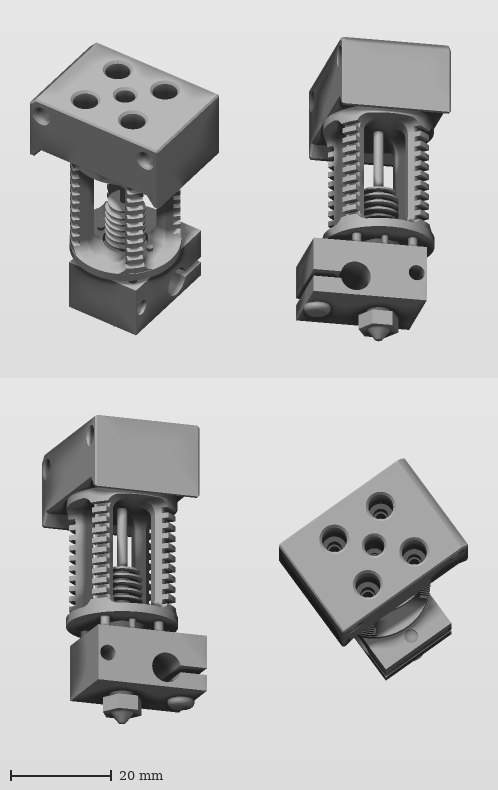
import cadquery as cq
import math


HEX_BOTTOM = 2.0
HEX_TOP = 5.0
HEATER_BOTTOM = 6.0
HEATER_TOP = 17.45
FLANGE_BOTTOM = 19.9
FLANGE_TOP = 21.65
DISC_BOTTOM = 44.3
DISC_TOP = 45.9
MOUNT_TOP = 58.5

MOUNT_WIDTH = 30.8
MOUNT_DEPTH = 22.1
MOUNT_FRONT = -11.35
MOUNT_BEVEL = 1.5
MOUNT_CHAMFER = 0.35
LIP_DROP = 2.2
LIP_FOOT = 1.0
LIP_ROOT = 2.7
SIDE_HOLE_DIAMETER = 3.4
SIDE_HOLE_X = 12.45
SIDE_HOLE_Z = 54.95
SIDE_HOLE_CHAMFER = 0.4
BORE_CHAMFER = 0.5
SCREW_HEAD_BORE = 5.0
SCREW_CLEARANCE = 2.9
SCREW_FLOOR = 3.0
TUBE_BORE = 4.0

BOLT_OFFSET = 5.7
DISC_RADIUS = 22.0 / 2
FLANGE_RADIUS = 22.25 / 2
FLANGE_HOLE_DIAMETER = 9.0
COLUMN_WIDTH = 3.15
WINDOW_HALF_WIDTH = 4.45
COLUMN_FILLET = 2.5
GROOVE_COUNT = 10
GROOVE_PITCH = 2.1
GROOVE_WIDTH = 1.05
GROOVE_RADIUS = 9.6
MOUNT_SCREW_DIAMETER = 2.15
MOUNT_SCREW_DEPTH = 5.0
INLET_DIAMETER = 2.05
INLET_DEPTH = 1.0

TUBE_DIAMETER = 2.05
STEM_DIAMETER = 3.5
FIN_DIAMETER = 8.0
TOP_FIN_DIAMETER = 7.0
FIN_COUNT = 7
FIN_PITCH = 1.5
FIN_THICKNESS = 0.4
LOWEST_FIN_GAP = 0.3
COLLAR_DIAMETER = FLANGE_HOLE_DIAMETER
COLLAR_GAP = 0.1
STANDOFF_DIAMETER = 1.9
PIN_DIAMETER = 1.35
PIN_X = 5.85
PIN_PROTRUSION = 0.7

HEATER_WIDTH = 16.0
HEATER_FRONT = -8.0
HEATER_BACK = 15.0
CARTRIDGE_DIAMETER = 6.1
CARTRIDGE_Y = 6.45
CARTRIDGE_Z = 10.0
CLAMP_SLOT_HEIGHT = 1.4
SENSOR_DIAMETER = 3.2
SENSOR_Y = -5.95
SENSOR_Z = 11.75
CLAMP_SCREW_Y = 12.45
CLAMP_SCREW_DIAMETER = 2.7
CLAMP_SCREW_RECESS = 0.5
CLAMP_HEAD_DIAMETER = 5.4
CLAMP_HEAD_HEIGHT = 1.5
CLAMP_HEAD_ROUND = 1.1
NOZZLE_NECK_DIAMETER = 5.0
HEX_ACROSS_FLATS = 7.1
CONE_DIAMETER = 4.7
TIP_DIAMETER = 1.35

BOLT_POINTS = [(x, y) for x in (-BOLT_OFFSET, BOLT_OFFSET) for y in (-BOLT_OFFSET, BOLT_OFFSET)]


def cylinder(diameter, bottom, top, points=((0, 0),)):
    """Upright cylinders between two levels, one at each point."""
    plane = cq.Workplane("XY", origin=(0, 0, bottom))
    return plane.pushPoints(points).circle(diameter / 2).extrude(top - bottom)



def make_mount():
    half = MOUNT_WIDTH / 2
    lip_bottom = DISC_TOP - LIP_DROP
    outline = [
        (-half, lip_bottom),
        (-half, MOUNT_TOP - MOUNT_BEVEL),
        (-half + MOUNT_BEVEL, MOUNT_TOP),
        (half - MOUNT_CHAMFER, MOUNT_TOP),
        (half, MOUNT_TOP - MOUNT_CHAMFER),
        (half, lip_bottom),
        (half - LIP_FOOT, lip_bottom),
        (half - LIP_ROOT, DISC_TOP),
        (-half + LIP_ROOT, DISC_TOP),
        (-half + LIP_FOOT, lip_bottom),
    ]
    block = (
        cq.Workplane("XZ", origin=(0, MOUNT_FRONT, 0))
        .polyline(outline)
        .close()
        .extrude(-MOUNT_DEPTH)
        .faces("<Y or >Y")
        .edges()
        .chamfer(MOUNT_CHAMFER)
    )
    block = cut_side_holes(block)
    screw_heads = cylinder(SCREW_HEAD_BORE, DISC_TOP + SCREW_FLOOR, MOUNT_TOP, BOLT_POINTS)
    screw_shanks = cylinder(SCREW_CLEARANCE, DISC_TOP, MOUNT_TOP, BOLT_POINTS)
    tube_bore = cylinder(TUBE_BORE, DISC_TOP, MOUNT_TOP)
    block = block.cut(screw_heads).cut(screw_shanks).cut(tube_bore)
    return block.faces(">Z").edges("%CIRCLE").chamfer(BORE_CHAMFER)


def cut_side_holes(block):
    """Two holes right through along Y, chamfered at both ends."""
    holes = (
        cq.Workplane("XZ", origin=(0, MOUNT_FRONT, 0))
        .pushPoints([(-SIDE_HOLE_X, SIDE_HOLE_Z), (SIDE_HOLE_X, SIDE_HOLE_Z)])
        .circle(SIDE_HOLE_DIAMETER / 2)
        .extrude(-MOUNT_DEPTH)
    )
    return block.cut(holes).faces("<Y or >Y").edges("%CIRCLE").chamfer(SIDE_HOLE_CHAMFER)



def flared_half_space(face_distance):
    """Slab beyond X = face_distance whose face flares towards the axis at the disc and the flange."""
    reach = 2 * DISC_RADIUS
    flared = face_distance - COLUMN_FILLET
    arc_shift = COLUMN_FILLET * math.sqrt(0.5)
    return (
        cq.Workplane("XZ", origin=(0, reach, 0))
        .moveTo(reach, FLANGE_TOP)
        .lineTo(flared, FLANGE_TOP)
        .threePointArc(
            (flared + arc_shift, FLANGE_TOP + COLUMN_FILLET - arc_shift),
            (face_distance, FLANGE_TOP + COLUMN_FILLET),
        )
        .lineTo(face_distance, DISC_BOTTOM - COLUMN_FILLET)
        .threePointArc(
            (flared + arc_shift, DISC_BOTTOM - COLUMN_FILLET + arc_shift),
            (flared, DISC_BOTTOM),
        )
        .lineTo(reach, DISC_BOTTOM)
        .close()
        .extrude(2 * reach)
    )


def turned(body, angle):
    return body.rotate((0, 0, 0), (0, 0, 1), angle)


def make_column():
    """Column in the +X +Y quarter: two faces square to X and Y and two sides along the diagonal."""
    window_face = flared_half_space(WINDOW_HALF_WIDTH)
    side_face = flared_half_space(-COLUMN_WIDTH / 2)
    column = window_face.intersect(turned(window_face, 90))
    return column.intersect(turned(side_face, -45)).intersect(turned(side_face, 135))


def make_openings():
    """Everything between the flange and the disc that is not a column."""
    openings = cylinder(2 * FLANGE_RADIUS, FLANGE_TOP, DISC_BOTTOM)
    column = make_column()
    for quarter in range(4):
        openings = openings.cut(turned(column, quarter * 90))
    return openings


def cut_grooves(cage):
    """Ring grooves around the columns, centred between the flange and the disc."""
    middle = (FLANGE_TOP + DISC_BOTTOM) / 2
    lowest = middle - ((GROOVE_COUNT - 1) * GROOVE_PITCH + GROOVE_WIDTH) / 2
    for index in range(GROOVE_COUNT):
        ring = (
            cq.Workplane("XY", origin=(0, 0, lowest + index * GROOVE_PITCH))
            .circle(FLANGE_RADIUS)
            .circle(GROOVE_RADIUS)
            .extrude(GROOVE_WIDTH)
        )
        cage = cage.cut(ring)
    return cage


def make_cage():
    cage = cylinder(2 * DISC_RADIUS, FLANGE_TOP, DISC_TOP).cut(make_openings())
    cage = cut_grooves(cage).union(cylinder(2 * FLANGE_RADIUS, FLANGE_BOTTOM, FLANGE_TOP))
    flange_hole = cylinder(FLANGE_HOLE_DIAMETER, FLANGE_BOTTOM, FLANGE_TOP + COLUMN_FILLET)
    mount_screws = cylinder(MOUNT_SCREW_DIAMETER, DISC_TOP - MOUNT_SCREW_DEPTH, DISC_TOP, BOLT_POINTS)
    inlet = cylinder(INLET_DIAMETER, DISC_TOP - INLET_DEPTH, DISC_TOP)
    return cage.cut(flange_hole).cut(mount_screws).cut(inlet)



def make_heat_break():
    lowest_fin = FLANGE_TOP + LOWEST_FIN_GAP
    top_fin = lowest_fin + (FIN_COUNT - 1) * FIN_PITCH
    heat_break = cylinder(TUBE_DIAMETER, top_fin, DISC_BOTTOM)
    heat_break = heat_break.union(cylinder(STEM_DIAMETER, HEATER_TOP, top_fin))
    for index in range(FIN_COUNT):
        bottom = lowest_fin + index * FIN_PITCH
        diameter = TOP_FIN_DIAMETER if index == FIN_COUNT - 1 else FIN_DIAMETER
        heat_break = heat_break.union(cylinder(diameter, bottom, bottom + FIN_THICKNESS))
    return heat_break.union(cylinder(COLLAR_DIAMETER, HEATER_TOP, FLANGE_BOTTOM - COLLAR_GAP))


def make_standoffs():
    """Four standoffs under the columns, and two thin pins that stick out above the flange."""
    standoffs = cylinder(STANDOFF_DIAMETER, HEATER_TOP, FLANGE_BOTTOM, BOLT_POINTS)
    pins = cylinder(PIN_DIAMETER, HEATER_TOP, FLANGE_TOP + PIN_PROTRUSION, [(-PIN_X, 0), (PIN_X, 0)])
    return standoffs.union(pins)



def cross_hole(diameter, y, z):
    """Cutter for a hole along X through the heater block."""
    plane = cq.Workplane("YZ", origin=(-HEATER_WIDTH / 2, y, z))
    return plane.circle(diameter / 2).extrude(HEATER_WIDTH)


def centred_box(front, back, bottom, top):
    """Box as wide as the heater block, centred on X."""
    box = cq.Workplane("XY").box(HEATER_WIDTH, back - front, top - bottom, centered=(True, False, False))
    return box.translate((0, front, bottom))


def make_heater():
    block = centred_box(HEATER_FRONT, HEATER_BACK, HEATER_BOTTOM, HEATER_TOP)
    slot_bottom = CARTRIDGE_Z - CLAMP_SLOT_HEIGHT / 2
    slot = centred_box(CARTRIDGE_Y, HEATER_BACK, slot_bottom, slot_bottom + CLAMP_SLOT_HEIGHT)
    block = block.cut(slot)
    block = block.cut(cross_hole(CARTRIDGE_DIAMETER, CARTRIDGE_Y, CARTRIDGE_Z))
    block = block.cut(cross_hole(SENSOR_DIAMETER, SENSOR_Y, SENSOR_Z))
    screw_axis = [(0, CLAMP_SCREW_Y)]
    screw_end = HEATER_TOP - CLAMP_SCREW_RECESS
    screw_hole = cylinder(CLAMP_SCREW_DIAMETER, screw_end, HEATER_TOP, screw_axis)
    shank = cylinder(CLAMP_SCREW_DIAMETER, HEATER_BOTTOM, screw_end, screw_axis)
    head = cylinder(CLAMP_HEAD_DIAMETER, HEATER_BOTTOM - CLAMP_HEAD_HEIGHT, HEATER_BOTTOM, screw_axis)
    head = head.faces("<Z").edges().fillet(CLAMP_HEAD_ROUND)
    return block.cut(screw_hole).union(shank).union(head)


def make_nozzle():
    neck = cylinder(NOZZLE_NECK_DIAMETER, HEX_TOP, HEATER_BOTTOM)
    across_corners = HEX_ACROSS_FLATS / math.cos(math.pi / 6)
    hexagon = (
        cq.Workplane("XY", origin=(0, 0, HEX_BOTTOM))
        .transformed(rotate=(0, 0, 90))
        .polygon(6, across_corners)
        .extrude(HEX_TOP - HEX_BOTTOM)
    )
    cone = cq.Workplane(cq.Solid.makeCone(TIP_DIAMETER / 2, CONE_DIAMETER / 2, HEX_BOTTOM))
    return neck.union(hexagon).union(cone)


def make_hot_end():
    hot_end = make_cage().union(make_heat_break()).union(make_standoffs())
    return hot_end.union(make_heater()).union(make_nozzle())


mount = make_mount()
hot_end = make_hot_end()
result = cq.Compound.makeCompound([mount.solids().val(), hot_end.solids().val()])